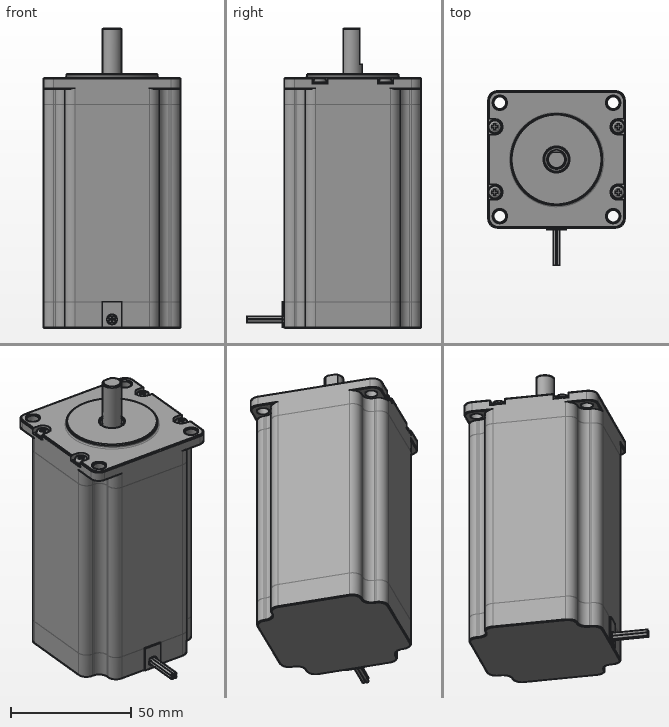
import cadquery as cq
import math


body_width = 57.0
half_width = body_width / 2
body_height = 104.0
front_cover_height = 11.0
rear_cover_height = 11.0
flange_thickness = 4.7
corner_radius = 4.1
flange_chamfer = 0.5
flange_underside_chamfer = 0.4
base_chamfer = 0.4
front_seam_z = body_height - front_cover_height
flange_bottom_z = body_height - flange_thickness

mount_hole_pitch = 47.1
mount_hole_diameter = 5.1
mount_hole_chamfer = 0.5
notch_radius = 3.9
notch_center = mount_hole_pitch / 2
notch_wall = notch_center - notch_radius

boss_diameter = 38.1
boss_height = 1.6
boss_chamfer = 0.5
boss_root_fillet = 0.5
opening_diameter = 10.0
opening_depth = 3.1
opening_chamfer = 0.5
boss_top_z = body_height + boss_height

shaft_diameter = 8.0
shaft_top_z = 124.6
shaft_chamfer = 0.5
flat_length = 15.0
flat_offset = 3.0
shaft_bottom_z = front_seam_z

washer_diameter = 5.7
washer_thickness = 0.6
head_diameter = 5.2
head_height = 1.5
head_rounding = 1.0
shank_diameter = 3.0
recess_length = 2.5
recess_width = 0.7
recess_depth = 1.0
pocket_radius = 3.2
pocket_depth = 2.5
screw_x = half_width - washer_diameter / 2
screw_y = 13.6
pocket_floor_z = body_height - pocket_depth
SCREW_POINTS = [(sx * screw_x, sy * screw_y) for sx in (-1, 1) for sy in (-1, 1)]

outlet_width = 8.0
outlet_projection = 0.69
outlet_hole_diameter = 4.2
outlet_hole_depth = 0.7
lead_diameter = 1.2
lead_pitch = 1.5
lead_z = 3.6
lead_length = 14.8
outlet_face_y = -half_width - outlet_projection


def cylinder(diameter, z_bottom, z_top):
    """Cylinder on the shaft axis between two heights."""
    return cq.Workplane("XY").workplane(offset=z_bottom).circle(diameter / 2).extrude(z_top - z_bottom)


def quarter_turns(point, turns):
    """Point turned about the shaft axis by a number of right angles."""
    x, y = point
    for _ in range(turns):
        x, y = -y, x
    return (x, y)


def notched_section(z_bottom, z_top):
    """Square prism whose corners carry a round notch with a rounded edge on each side of it."""
    flat_end = notch_wall - corner_radius
    wall_end = half_width - corner_radius
    edge_middle = corner_radius * math.sqrt(0.5)
    notch_middle = notch_center - notch_radius * math.sqrt(0.5)
    corner_points = [
        (half_width, flat_end),
        (wall_end + edge_middle, flat_end + edge_middle),
        (wall_end, notch_wall),
        (notch_center, notch_wall),
        (notch_middle, notch_middle),
        (notch_wall, notch_center),
        (notch_wall, wall_end),
        (flat_end + edge_middle, wall_end + edge_middle),
        (flat_end, half_width),
    ]
    outline = cq.Workplane("XY").workplane(offset=z_bottom).moveTo(half_width, -flat_end)
    for turns in range(4):
        points = [quarter_turns(point, turns) for point in corner_points]
        for start, middle, end in (points[0:3], points[3:6], points[6:9]):
            outline = outline.lineTo(*start).threePointArc(middle, end)
    return outline.close().extrude(z_top - z_bottom)


def make_flange():
    """Square mounting flange with the chamfered centering boss on top."""
    plate = (
        cq.Workplane("XY")
        .workplane(offset=flange_bottom_z)
        .rect(body_width, body_width)
        .extrude(flange_thickness)
        .edges("|Z")
        .fillet(corner_radius)
        .faces(">Z")
        .chamfer(flange_chamfer)
        .faces("<Z")
        .chamfer(flange_underside_chamfer)
    )
    boss = cylinder(boss_diameter, body_height, boss_top_z)
    root_margin = boss_height / 10
    root = cq.selectors.BoxSelector(
        (-notch_wall, -notch_wall, body_height - root_margin),
        (notch_wall, notch_wall, body_height + root_margin),
    )
    return plate.union(boss).edges(root).fillet(boss_root_fillet).faces(">Z").chamfer(boss_chamfer)


def make_cable_outlet():
    """Raised pad on the rear cover with a shallow round hole and four leads rising from its floor."""
    pad = cq.Workplane("XY").box(
        outlet_width, 2 * outlet_projection, rear_cover_height - base_chamfer, centered=(True, True, False)
    ).translate((0, -half_width, base_chamfer))
    lead_plane = cq.Workplane("XZ", origin=(0, outlet_face_y, lead_z))
    hole = lead_plane.circle(outlet_hole_diameter / 2).extrude(-outlet_hole_depth)
    leads = (
        lead_plane.workplane(offset=-outlet_hole_depth)
        .rect(lead_pitch, lead_pitch, forConstruction=True)
        .vertices()
        .circle(lead_diameter / 2)
        .extrude(lead_length + outlet_hole_depth)
    )
    return pad, hole, leads


def make_pocket(x, y):
    """Round screw pocket that opens through the nearest side of the flange."""
    width = 2 * pocket_radius
    side = math.copysign(1, x)
    pocket = cq.Workplane("XY").circle(pocket_radius).extrude(pocket_depth)
    opening = cq.Workplane("XY").center(side * pocket_radius, 0).rect(width, width).extrude(pocket_depth)
    return pocket.union(opening).translate((x, y, pocket_floor_z))


def make_housing():
    """Front cover, stack and rear cover in one piece; the joints remain as seams in the walls."""
    rear = notched_section(0, rear_cover_height).faces("<Z").chamfer(base_chamfer)
    stack = notched_section(rear_cover_height, front_seam_z)
    front_section = notched_section(front_seam_z, flange_bottom_z + flange_underside_chamfer)
    front = front_section.union(make_flange())
    housing = rear.union(stack, clean=False).union(front, clean=False)

    pad, hole, leads = make_cable_outlet()
    housing = housing.union(pad, clean=False).cut(hole, clean=False).union(leads, clean=False)

    mount_holes = (
        cq.Workplane("XY", origin=(0, 0, flange_bottom_z))
        .rect(mount_hole_pitch, mount_hole_pitch, forConstruction=True)
        .vertices()
        .circle(mount_hole_diameter / 2)
        .extrude(flange_thickness)
    )
    countersinks = (
        cq.Workplane("XY", origin=(0, 0, body_height))
        .rect(mount_hole_pitch, mount_hole_pitch, forConstruction=True)
        .vertices()
        .circle(mount_hole_diameter / 2 + mount_hole_chamfer)
        .extrude(-mount_hole_chamfer, taper=45)
    )
    housing = housing.cut(mount_holes, clean=False).cut(countersinks, clean=False)

    opening = cylinder(opening_diameter, boss_top_z - opening_depth, boss_top_z)
    opening_rim = (
        cq.Workplane("XY", origin=(0, 0, boss_top_z))
        .circle(opening_diameter / 2 + opening_chamfer)
        .extrude(-opening_chamfer, taper=45)
    )
    shaft_seat = cylinder(shaft_diameter, shaft_bottom_z, boss_top_z)
    housing = housing.cut(opening, clean=False).cut(opening_rim, clean=False).cut(shaft_seat, clean=False)

    for x, y in SCREW_POINTS:
        shank_hole = cylinder(shank_diameter, front_seam_z, pocket_floor_z).translate((x, y, 0))
        housing = housing.cut(make_pocket(x, y), clean=False).cut(shank_hole, clean=False)
    return housing


def make_shaft():
    """Round shaft with a chamfered end and a flat on its +Y side."""
    shaft = cylinder(shaft_diameter, shaft_bottom_z, shaft_top_z).faces(">Z").chamfer(shaft_chamfer)
    flat_cut = (
        cq.Workplane("XY", origin=(0, flat_offset + shaft_diameter / 2, shaft_top_z))
        .rect(shaft_diameter, shaft_diameter)
        .extrude(-flat_length)
    )
    return shaft.cut(flat_cut)


def make_screw(x, y):
    """Pan-head screw with a cross recess and a captive washer resting on the pocket floor."""
    washer_top_z = pocket_floor_z + washer_thickness
    head_top_z = washer_top_z + head_height
    head = cylinder(head_diameter, washer_top_z, head_top_z).faces(">Z").edges().fillet(head_rounding)
    washer = cylinder(washer_diameter, pocket_floor_z, washer_top_z)
    shank = cylinder(shank_diameter, front_seam_z, pocket_floor_z)
    screw = head.union(washer).union(shank)
    for length, width in ((recess_length, recess_width), (recess_width, recess_length)):
        slot = cq.Workplane("XY", origin=(0, 0, head_top_z)).rect(length, width).extrude(-recess_depth)
        screw = screw.cut(slot)
    return screw.translate((x, y, 0))


housing = make_housing()
shaft = make_shaft()
screws = [make_screw(x, y) for x, y in SCREW_POINTS]

result = cq.Compound.makeCompound([housing.val(), shaft.val(), *[screw.val() for screw in screws]])